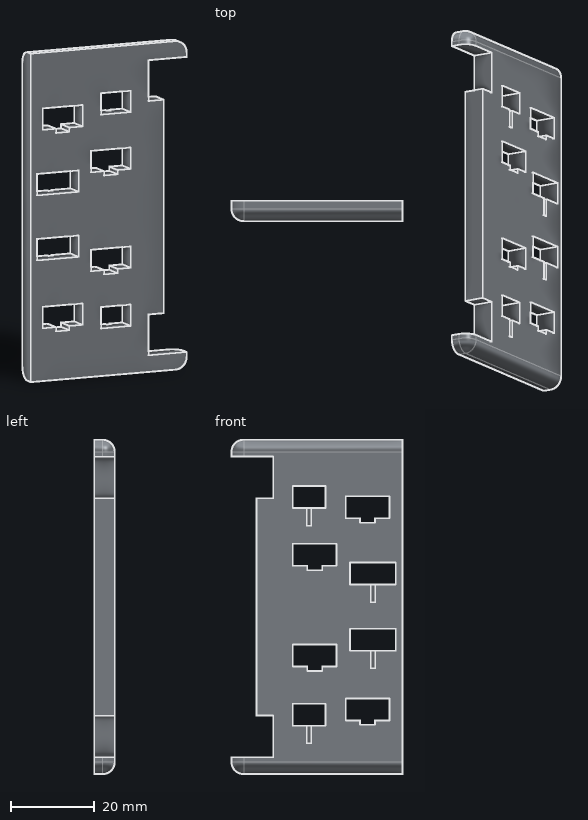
import cadquery as cq

WIDTH = 41.0
THICKNESS = 5.0
HEIGHT = 80.0
EDGE_RADIUS = 3.0

LIP_HEIGHT = 4.1
BODY_SETBACK = 6.0
NOTCH_DEPTH = 10.0
NOTCH_HEIGHT = 9.9

WINDOW_HEIGHT = 5.2
SMALL_WIDTH = 7.8
KEYED_WIDTH = 10.4
WIDE_WIDTH = 10.9
KEY_WIDTH = 3.5
KEY_DEPTH = 1.0

GROOVE_WIDTH = 1.0
GROOVE_LENGTH = 4.2
GROOVE_DEPTH = 0.7

INNER_LEFT = 14.7
SMALL_TOPS = (68.9, 16.8)
INNER_KEYED_TOPS = (55.0, 31.0)
OUTER_KEYED_LEFT = 27.4
OUTER_KEYED_TOPS = (66.4, 18.1)
WIDE_LEFT = 28.4
WIDE_TOPS = (50.6, 34.7)


def block(left, bottom, width, height, depth=THICKNESS):
    """Box that starts at the front face and runs back to the given depth."""
    return cq.Workplane("XY").box(width, depth, height, centered=False).translate((left, 0, bottom))


def window_with_drop(left, top, width, drop_width, drop_length, drop_depth):
    """Through window with a centred cut running down from its lower edge."""
    bottom = top - WINDOW_HEIGHT
    drop_left = left + (width - drop_width) / 2
    window = block(left, bottom, width, WINDOW_HEIGHT)
    return window.union(block(drop_left, bottom - drop_length, drop_width, drop_length, drop_depth))


def keyed_window(left, top):
    return window_with_drop(left, top, KEYED_WIDTH, KEY_WIDTH, KEY_DEPTH, THICKNESS)


def grooved_window(left, top, width):
    return window_with_drop(left, top, width, GROOVE_WIDTH, GROOVE_LENGTH, GROOVE_DEPTH)


plate = block(0, 0, WIDTH, HEIGHT)
rounded_edges = plate.faces("<X").edges("|Y or <Y").add(plate.faces("<Y").edges("|X"))
plate = rounded_edges.fillet(EDGE_RADIUS)

plate = plate.cut(block(0, LIP_HEIGHT, BODY_SETBACK, HEIGHT - 2 * LIP_HEIGHT))
for notch_bottom in (LIP_HEIGHT, HEIGHT - LIP_HEIGHT - NOTCH_HEIGHT):
    plate = plate.cut(block(0, notch_bottom, NOTCH_DEPTH, NOTCH_HEIGHT))

for window_top in SMALL_TOPS:
    plate = plate.cut(grooved_window(INNER_LEFT, window_top, SMALL_WIDTH))
for window_top in WIDE_TOPS:
    plate = plate.cut(grooved_window(WIDE_LEFT, window_top, WIDE_WIDTH))
for window_top in INNER_KEYED_TOPS:
    plate = plate.cut(keyed_window(INNER_LEFT, window_top))
for window_top in OUTER_KEYED_TOPS:
    plate = plate.cut(keyed_window(OUTER_KEYED_LEFT, window_top))

result = plate